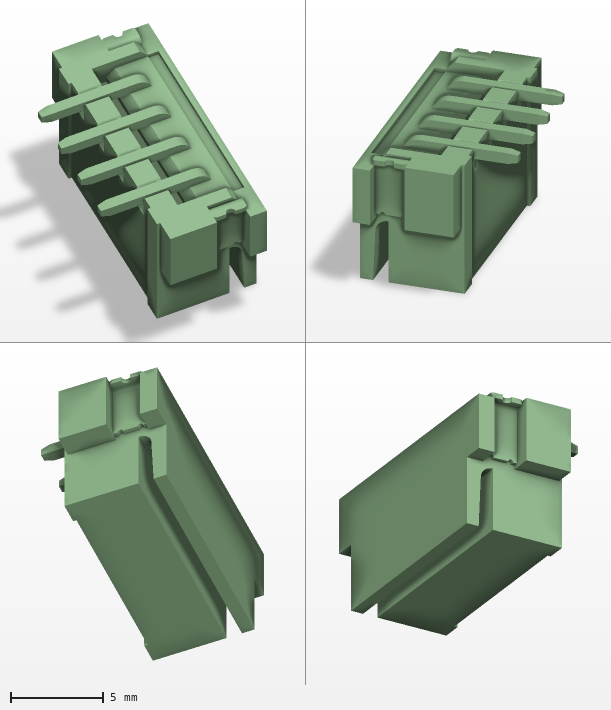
import cadquery as cq

height = 7.8
depth = 6.0
wide_half = 7.5
core_half = 6.21
rib_depth = 0.2
rib_width = 1.22
wing_height = 3.8

flange_thick = 1.0
flange_drop = 0.5
recess_length = 2.0

slot_height = 3.7
slot_front = 1.65
slot_rear_bottom = 0.75
slot_rear_top = 0.92
slot_round = 0.72
recess_half = 5.48

window_half = 5.45
window_rear = 0.38
window_front = 4.4
shelf_front = 3.0
ramp_run = 0.5
shelf_drop = 0.63
trench_drop = 0.75
ramp_drop = 1.12
pit_drop = 1.48

pin_count = 4
pin_pitch = 7.5 / 3
pin_size = 0.65
pin_tip_size = 0.45
pin_tip_length = 0.54
pin_reach = 2.31
pin_bend_radius = 1.0
pin_rear = 1.65
notch_chamfer = 0.18

clip_thick = 0.3
clip_half = 7.17
clip_bend_radius = 0.5
clip_drop = 3.57
clip_corner = 0.2
lip_notch_radius = 0.27
foot_notch_radius = 0.15
foot_notch_offset = 0.6

front_face = rib_depth
recess_rear = depth - flange_thick
recess_front = recess_rear - recess_length
recess_mid = (recess_rear + recess_front) / 2
pin_places = [(i - (pin_count - 1) / 2) * pin_pitch for i in range(pin_count)]


def block(x0, x1, y0, y1, z0, z1):
    """Box between two opposite corners."""
    return cq.Workplane("XY").box(x1 - x0, y1 - y0, z1 - z0, centered=False).translate((x0, y0, z0))


def across(profile, half_width):
    """Extrude a closed YZ outline symmetrically along X."""
    return profile.close().extrude(half_width, both=True)


def make_body():
    wing_bottom = height - wing_height
    body = block(-core_half, core_half, front_face, depth, 0, height)
    body = body.union(block(-wide_half, wide_half, front_face, recess_front, wing_bottom, height))
    body = body.union(block(-wide_half, wide_half, recess_rear, depth, wing_bottom, height - flange_drop))
    for rib_left in (-core_half, core_half - rib_width):
        body = body.union(block(rib_left, rib_left + rib_width, 0, front_face, 0, height))
    return body


def rear_bevel():
    """Space above the flange, with a 45 degree bevel up to the body top."""
    outline = (
        cq.Workplane("YZ")
        .moveTo(depth, height - flange_drop)
        .lineTo(recess_rear, height - flange_drop)
        .lineTo(recess_rear - flange_drop, height)
        .lineTo(depth, height)
    )
    return across(outline, wide_half)


def rear_slot():
    slot = (
        cq.Workplane("YZ")
        .moveTo(depth - slot_front, 0)
        .lineTo(depth - slot_front, slot_height)
        .lineTo(depth - slot_rear_top, slot_height)
        .lineTo(depth - slot_rear_bottom, 0)
    )
    return across(slot, wide_half).edges("|X").edges(">Z").edges(">Y").fillet(slot_round)


def rear_wall_recess():
    """Makes the front of the lower rear wall upright between its two tapered ends."""
    return block(-recess_half, recess_half, depth - slot_front, depth - slot_rear_bottom, 0, slot_height)


def top_window():
    """Stepped window: rear trench, shelf, ramp and front pit."""
    outline = (
        cq.Workplane("YZ")
        .moveTo(depth - window_rear, height)
        .lineTo(depth - window_rear, height - trench_drop)
        .lineTo(recess_rear, height - trench_drop)
        .lineTo(recess_rear, height - shelf_drop)
        .lineTo(depth - shelf_front, height - shelf_drop)
        .lineTo(depth - shelf_front - ramp_run, height - ramp_drop)
        .lineTo(depth - shelf_front - ramp_run, height - pit_drop)
        .lineTo(depth - window_front, height - pit_drop)
        .lineTo(depth - window_front, height)
    )
    return across(outline, window_half)


def pin_notch(x):
    """Notch through the front wall, chamfered at its top edges."""
    half = pin_size / 2
    top_half = half + notch_chamfer
    return (
        cq.Workplane("XZ")
        .moveTo(x - half, height - pit_drop)
        .lineTo(x + half, height - pit_drop)
        .lineTo(x + half, height - notch_chamfer)
        .lineTo(x + top_half, height)
        .lineTo(x - top_half, height)
        .lineTo(x - half, height - notch_chamfer)
        .close()
        .extrude(-(depth - window_front))
    )


def make_pin(x):
    """Bent pin: leg into the body, rounded bend and a tapered free end."""
    tip_start = pin_tip_length - pin_reach
    rear = depth - pin_rear
    leg_bottom = height - pit_drop
    bar = block(-pin_size / 2, pin_size / 2, tip_start, rear, height - pin_size, height)
    leg = block(-pin_size / 2, pin_size / 2, rear - pin_size, rear, leg_bottom, height)
    bent = bar.union(leg).edges("|X and >Z and >Y").fillet(pin_bend_radius)
    tip = (
        cq.Workplane("XZ", origin=(0, tip_start, height - pin_size / 2))
        .rect(pin_size, pin_size)
        .workplane(offset=pin_tip_length)
        .rect(pin_tip_size, pin_tip_size)
        .loft(ruled=True)
    )
    return bent.union(tip).translate((x, 0, 0))


def make_clip():
    """Right-hand bent clip: upright plate against the core, lip turned outwards."""
    plate_outer = core_half + clip_thick
    bend_end = core_half + clip_bend_radius
    bend_start = height - clip_bend_radius
    foot = height - clip_drop
    clip = (
        cq.Workplane("XZ", origin=(0, recess_rear, 0))
        .moveTo(core_half, foot)
        .lineTo(core_half, bend_start)
        .tangentArcPoint((bend_end, height), relative=False)
        .lineTo(clip_half, height)
        .lineTo(clip_half, height - clip_thick)
        .lineTo(bend_end, height - clip_thick)
        .tangentArcPoint((plate_outer, bend_start), relative=False)
        .lineTo(plate_outer, foot)
        .close()
        .extrude(recess_length)
    )
    clip = clip.edges("|Z and >X").fillet(clip_corner)
    lip_notch = (
        cq.Workplane("XY", origin=(clip_half, recess_mid, height - clip_thick))
        .circle(lip_notch_radius)
        .extrude(clip_thick)
    )
    foot_notches = (
        cq.Workplane("YZ", origin=(core_half, recess_mid, foot))
        .pushPoints([(-foot_notch_offset, 0), (foot_notch_offset, 0)])
        .circle(foot_notch_radius)
        .extrude(clip_thick)
    )
    return clip.cut(lip_notch).cut(foot_notches)


result = make_body()
for removed in (rear_bevel(), rear_slot(), rear_wall_recess(), top_window()):
    result = result.cut(removed)
for place in pin_places:
    result = result.cut(pin_notch(place))
    result = result.union(make_pin(place))
right_clip = make_clip()
result = result.union(right_clip).union(right_clip.mirror("YZ"))